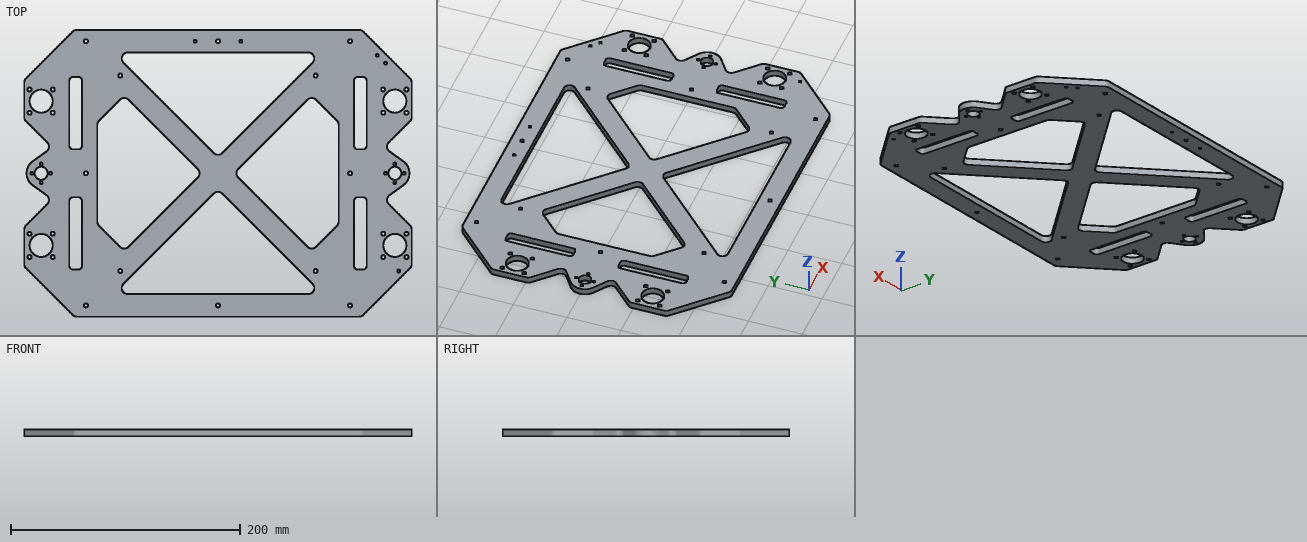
import cadquery as cq
import math

length = 338.0
width = 250.0
thickness = 6.0
half_length = length / 2
half_width = width / 2

corner_cut = 44.0
corner_radius = 5.0
notch_mouth_y = 47.0
notch_depth = 24.5
lobe_radius = 13.0

rail_width = 20.0
brace_width = 20.0
window_half = half_width - rail_width
window_corner_cut = 61.0
window_radius = 5.0

slot_x = 124.0
slot_y = 52.5
slot_length = 63.0
slot_width = 10.8
slot_radius = 3.0

mount_x = 154.0
mount_y = 63.0
mount_bore = 20.0
mount_screw_offset = 10.0
end_bore = 11.0
end_screw_offset = 8.0

screw_diameter = 3.5
small_screw_diameter = 2.5
frame_screw = half_width - rail_width / 2
brace_screw = 85.2
rail_pin_x = 20.0
edge_holes = [(139.0, 102.8), (146.0, 96.0), (157.5, -85.2)]

signs = (1, -1)
quadrants = [(sx, sy) for sx in signs for sy in signs]


def prism(points):
    return cq.Workplane("XY").polyline(points).close().extrude(thickness)


def mirrored(x, y):
    """The point repeated in all four quadrants."""
    return [(sx * x, sy * y) for sx, sy in quadrants]


def cut_holes(body, points, diameter):
    holes = cq.Workplane("XY").pushPoints(points).circle(diameter / 2).extrude(thickness)
    return body.cut(holes)


def mirror_ends(points):
    """The points at the right-hand end, repeated in order at the left-hand end."""
    return points + [(-x, y) for x, y in reversed(points)]


def make_blank():
    """Octagonal plate with a V notch on both sides of each end bore and a lobe around the bore."""
    root_x = half_length - notch_depth
    root_y = notch_mouth_y - notch_depth
    reach = math.hypot(root_x - mount_x, root_y)
    root_angle = math.atan2(root_y, root_x - mount_x)
    tangent_angle = root_angle - math.acos(lobe_radius / reach)
    tangent_x = mount_x + lobe_radius * math.cos(tangent_angle)
    tangent_y = lobe_radius * math.sin(tangent_angle)

    upper = [
        (half_length - corner_cut, half_width),
        (half_length, half_width - corner_cut),
        (half_length, notch_mouth_y),
        (root_x, root_y),
        (tangent_x, tangent_y),
    ]
    lower = [(x, -y) for x, y in reversed(upper)]
    blank = prism(mirror_ends(upper + lower))
    tangent_corners = cq.selectors.BoxSelector(
        (-tangent_x - lobe_radius, -tangent_y - lobe_radius / 2, -thickness),
        (tangent_x + lobe_radius, tangent_y + lobe_radius / 2, 2 * thickness),
    )
    corners = cq.selectors.StringSyntaxSelector("|Z") - tangent_corners
    blank = blank.edges(corners).fillet(corner_radius)
    lobes = cq.Workplane("XY").pushPoints([(mount_x, 0), (-mount_x, 0)]).circle(lobe_radius)
    return blank.union(lobes.extrude(thickness))


def make_rail_window(side):
    """Triangle between a long rail and the two braces."""
    apex = brace_width / math.sqrt(2)
    base_x = window_half - apex
    points = [(0, side * apex), (base_x, side * window_half), (-base_x, side * window_half)]
    return prism(points).edges("|Z").fillet(window_radius)


def make_side_window(side):
    """Five sided window between the two braces and an end."""
    apex = brace_width / math.sqrt(2)
    outer_y = window_half - window_corner_cut
    peak_x = (window_half + outer_y + apex) / 2
    peak_y = peak_x - apex
    points = [
        (side * apex, 0),
        (side * peak_x, peak_y),
        (side * window_half, outer_y),
        (side * window_half, -outer_y),
        (side * peak_x, -peak_y),
    ]
    return prism(points).edges("|Z").fillet(window_radius)


plate = make_blank()
for side in signs:
    plate = plate.cut(make_rail_window(side))
    plate = plate.cut(make_side_window(side))

slots = cq.Workplane("XY").pushPoints(mirrored(slot_x, slot_y)).rect(slot_width, slot_length)
plate = plate.cut(slots.extrude(thickness).edges("|Z").fillet(slot_radius))

mounts = mirrored(mount_x, mount_y)
mount_screws = [
    (x + dx, y + dy) for x, y in mounts for dx, dy in mirrored(mount_screw_offset, mount_screw_offset)
]
plate = cut_holes(plate, mounts, mount_bore)
plate = cut_holes(plate, mount_screws, screw_diameter)

end_centres = [(side * mount_x, 0) for side in signs]
end_screws = []
for x, y in end_centres:
    for step in signs:
        end_screws.append((x + step * end_screw_offset, y))
        end_screws.append((x, y + step * end_screw_offset))
plate = cut_holes(plate, end_centres, end_bore)
plate = cut_holes(plate, end_screws, small_screw_diameter)

frame_screws = mirrored(frame_screw, frame_screw) + mirrored(brace_screw, brace_screw)
for side in signs:
    frame_screws.append((side * frame_screw, 0))
    frame_screws.append((0, side * frame_screw))
plate = cut_holes(plate, frame_screws, screw_diameter)

rail_pins = [(side * rail_pin_x, frame_screw) for side in signs]
plate = cut_holes(plate, rail_pins + edge_holes, small_screw_diameter)

result = plate